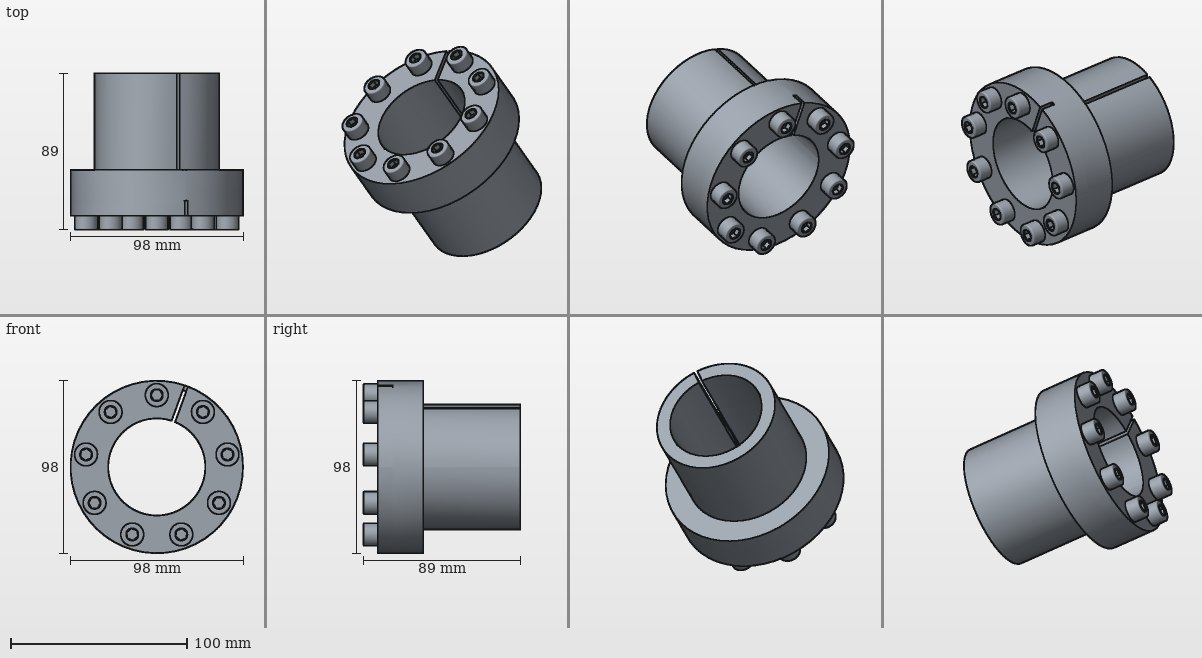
import cadquery as cq
import math

flange_diameter = 98.0
flange_length = 26.0
front_disc_length = 8.6
sleeve_diameter = 71.0
sleeve_length = 55.0
bore_diameter = 55.0

slot_width = 2.0
slot_angle = 70.0
closed_slot_radius = 46.0

screw_count = 9
screw_spacing = 360.0 / screw_count
first_screw_angle = 90.0
screw_circle_radius = 40.75
head_diameter = 13.0
head_height = 8.0
head_rounding = 0.8
shank_diameter = 8.0
shank_length = 25.0
socket_width = 6.0
socket_corner_diameter = socket_width / math.cos(math.radians(30))
socket_depth = 4.0
socket_turn = 30.0
socket_mouth_diameter = 7.0
socket_mouth_depth = (socket_mouth_diameter - socket_width) / 2

front_face = 0.0
disc_joint = front_face + front_disc_length
flange_back = front_face + flange_length
sleeve_end = flange_back + sleeve_length


def cylinder(diameter, start, end):
    """Cylinder on the Y axis between two stations."""
    return cq.Workplane("XZ", origin=(0, start, 0)).circle(diameter / 2).extrude(start - end)


def slot_cutter(outer_radius, start, end):
    """Radial slab from the axis out to a radius, turned to the slot angle."""
    slab = cq.Workplane("XY").box(outer_radius, end - start, slot_width, centered=(False, False, True))
    slab = slab.translate((0, start, 0))
    return slab.rotate((0, 0, 0), (0, 1, 0), -slot_angle)


def at_screw_position(shape, index):
    """Move a shape from the Y axis to the bolt circle and turn it around to its screw position."""
    angle = first_screw_angle + index * screw_spacing
    return shape.translate((screw_circle_radius, 0, 0)).rotate((0, 0, 0), (0, 1, 0), -angle)


def make_shank():
    return cylinder(shank_diameter, front_face, front_face + shank_length)


def make_hub():
    front_disc = cylinder(flange_diameter, front_face, disc_joint)
    front_disc = front_disc.cut(slot_cutter(flange_diameter, front_face, disc_joint))

    rear_ring = cylinder(flange_diameter, disc_joint, flange_back)
    sleeve = cylinder(sleeve_diameter, flange_back, sleeve_end)
    rear_part = rear_ring.union(sleeve)
    rear_part = rear_part.cut(slot_cutter(closed_slot_radius, disc_joint, sleeve_end))

    hub = front_disc.union(rear_part, clean=False)
    hub = hub.cut(cylinder(bore_diameter, front_face, sleeve_end), clean=False)
    for index in range(screw_count):
        hub = hub.cut(at_screw_position(make_shank(), index), clean=False)
    return hub


def make_screw(index):
    head_top = front_face - head_height
    head = cylinder(head_diameter, head_top, front_face)
    head = head.faces("<Y").edges().fillet(head_rounding)

    top_plane = cq.Workplane("XZ", origin=(0, head_top, 0))
    socket = top_plane.polygon(6, socket_corner_diameter).extrude(-socket_depth)
    socket = socket.rotate((0, 0, 0), (0, 1, 0), socket_turn)
    mouth = cq.Solid.makeCone(
        socket_mouth_diameter / 2,
        socket_width / 2,
        socket_mouth_depth,
        pnt=cq.Vector(0, head_top, 0),
        dir=cq.Vector(0, 1, 0),
    )

    screw = head.cut(socket).cut(cq.Workplane(mouth)).union(make_shank())
    return at_screw_position(screw, index)


hub = make_hub()
screws = [make_screw(index) for index in range(screw_count)]

result = cq.Compound.makeCompound([hub.val(), *[screw.val() for screw in screws]])